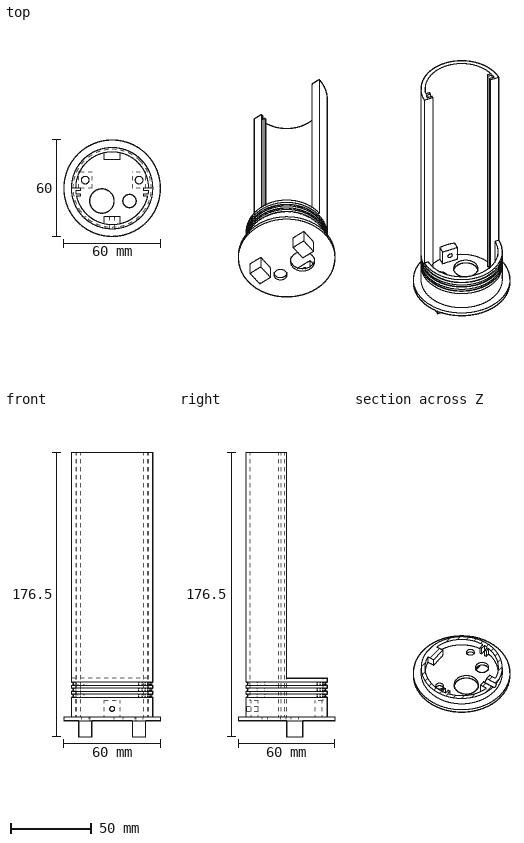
import cadquery as cq

total_height = 176.5
flange_radius = 30.0
flange_thickness = 2.5
body_radius = 25.2
wall = 2.6
collar_height = 24.0

foot_height = 10.0
foot_width = 8.3
foot_depth = 10.0
foot_inner_x = 12.5

groove_radius = 1.0
groove_count = 3
groove_pitch = 3.7
first_groove_height = 13.0

rail_thickness = 1.5
rail_gap = 2.1
rail_inner_x = 19.6

block_width = 10.0
block_height = 10.0
block_inner_y = 17.6
side_hole_diameter = 3.0
side_hole_height = 5.0

cable_hole_diameter = 15.0
cable_hole_center = (-6.4, -8.0)
small_hole_diameter = 8.1
small_hole_center = (10.8, -8.0)
foot_hole_diameter = 4.8

bore_radius = body_radius - wall
mid_wall_radius = body_radius - wall / 2
floor_z = flange_thickness
tube_height = total_height - foot_height - flange_thickness
foot_center_x = foot_inner_x + foot_width / 2
side_hole_z = floor_z + side_hole_height


def cylinder(radius, bottom_z, height):
    return cq.Workplane("XY").workplane(offset=bottom_z).circle(radius).extrude(height)


def box(x_min, x_max, y_min, y_max, bottom_z, height):
    return (
        cq.Workplane("XY", origin=((x_min + x_max) / 2, (y_min + y_max) / 2, bottom_z))
        .rect(x_max - x_min, y_max - y_min)
        .extrude(height)
    )


def front_half(solid):
    """Keep the -Y half of a solid."""
    return solid.intersect(box(-flange_radius, flange_radius, -flange_radius, 0, floor_z, tube_height))


def shell():
    """Full collar with the half tube rising from its -Y side."""
    collar = cylinder(body_radius, floor_z, collar_height)
    half_tube = front_half(cylinder(body_radius, floor_z, tube_height))
    bore = cylinder(bore_radius, floor_z, tube_height)
    return collar.union(half_tube).cut(bore)


def rails():
    """Two rails on each side, forming a slot along the half tube."""
    core = cylinder(mid_wall_radius, floor_z, tube_height)
    strips = cq.Workplane("XY")
    for side in (-1, 1):
        x_min, x_max = sorted((side * rail_inner_x, side * body_radius))
        for index in range(2):
            y_max = -index * (rail_thickness + rail_gap)
            strips = strips.union(box(x_min, x_max, y_max - rail_thickness, y_max, floor_z, tube_height))
    return strips.intersect(core)


def screw_blocks():
    """Blocks standing on the floor against the front and back of the bore."""
    core = cylinder(mid_wall_radius, floor_z, block_height)
    half_width = block_width / 2
    front = box(-half_width, half_width, -body_radius, -block_inner_y, floor_z, block_height)
    back = front.mirror("XZ")
    return front.union(back).intersect(core)


def feet():
    blocks = cq.Workplane("XY")
    for side in (-1, 1):
        center_x = side * foot_center_x
        blocks = blocks.union(
            box(center_x - foot_width / 2, center_x + foot_width / 2, 0, foot_depth, -foot_height, foot_height)
        )
    return blocks


def ring_grooves():
    """Circles centered on the collar surface, swept around the part axis."""
    rings = cq.Workplane("XY")
    for index in range(groove_count):
        groove_z = floor_z + first_groove_height + index * groove_pitch
        profile = cq.Workplane("YZ").center(-body_radius, groove_z).circle(groove_radius)
        rings = rings.union(profile.revolve(360, (body_radius, 0), (body_radius, 1)))
    return rings


def floor_holes():
    """Two through holes and a blind screw hole above each foot."""
    holes = cylinder(cable_hole_diameter / 2, 0, flange_thickness).translate((*cable_hole_center, 0))
    holes = holes.union(
        cylinder(small_hole_diameter / 2, 0, flange_thickness).translate((*small_hole_center, 0))
    )
    for side in (-1, 1):
        foot_hole = cylinder(foot_hole_diameter / 2, 0, flange_thickness)
        holes = holes.union(foot_hole.translate((side * foot_center_x, foot_depth / 2, 0)))
    return holes


def side_hole():
    """Radial hole through the collar wall and the front screw block."""
    return (
        cq.Workplane("XZ", origin=(0, 0, side_hole_z))
        .circle(side_hole_diameter / 2)
        .extrude(flange_radius)
    )


result = (
    cylinder(flange_radius, 0, flange_thickness)
    .union(shell())
    .union(rails())
    .union(screw_blocks())
    .union(feet())
    .cut(ring_grooves())
    .cut(floor_holes())
    .cut(side_hole())
)